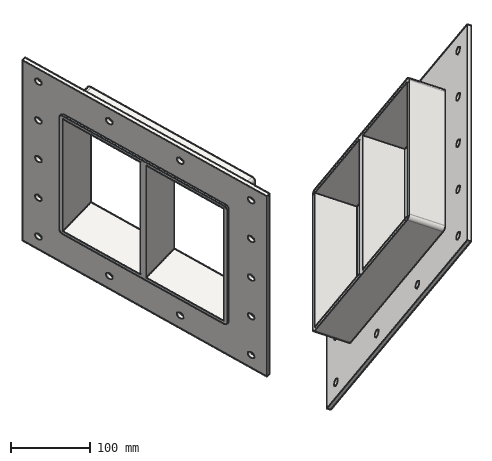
import cadquery as cq

plate_width = 383.0
plate_height = 350.0
plate_thickness = 5.7

frame_width = 263.0
frame_height = 229.0
frame_depth = 60.0
frame_wall = 5.7
frame_corner_radius = 5.7
front_projection = 3.0
divider_thickness = 9.5

hole_diameter = 10.5
hole_edge_distance = 25.0
hole_columns = 4
hole_rows = 5

plate_front = front_projection
plate_back = plate_front + plate_thickness
opening_width = (frame_width - 2 * frame_wall - divider_thickness) / 2
opening_height = frame_height - 2 * frame_wall
opening_offset = (opening_width + divider_thickness) / 2


def block(width, height, front, back):
    """Box centred on X and Z, spanning front to back along Y."""
    return cq.Workplane("XY").box(width, back - front, height).translate((0, (front + back) / 2, 0))


def bolt_positions():
    """Evenly spaced border positions, with each corner used once."""
    span_x = plate_width - 2 * hole_edge_distance
    span_z = plate_height - 2 * hole_edge_distance
    positions = []
    for column in range(hole_columns):
        for row in range(hole_rows):
            if column in (0, hole_columns - 1) or row in (0, hole_rows - 1):
                x = span_x * (column / (hole_columns - 1) - 0.5)
                z = span_z * (row / (hole_rows - 1) - 0.5)
                positions.append((x, z))
    return positions


plate = block(plate_width, plate_height, plate_front, plate_back)
frame = block(frame_width, frame_height, 0, frame_depth).edges("|Y").fillet(frame_corner_radius)

bolt_holes = (
    cq.Workplane("XZ")
    .pushPoints(bolt_positions())
    .circle(hole_diameter / 2)
    .extrude(-frame_depth)
)
openings = (
    cq.Workplane("XZ")
    .pushPoints([(-opening_offset, 0), (opening_offset, 0)])
    .rect(opening_width, opening_height)
    .extrude(-frame_depth)
)

result = plate.union(frame).cut(bolt_holes).cut(openings)